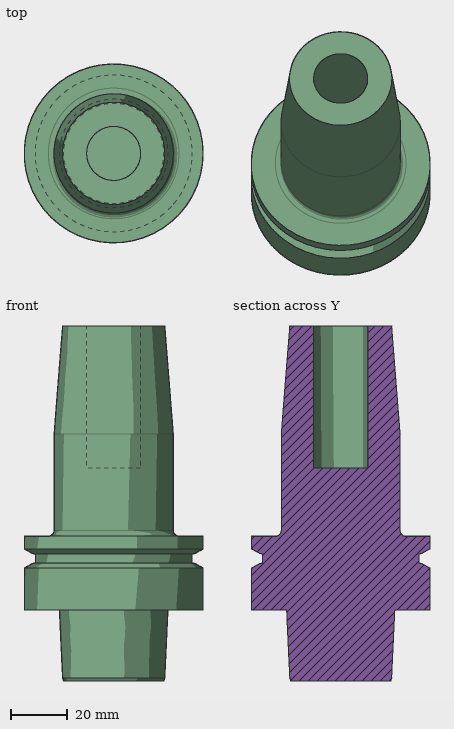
import cadquery as cq
import math

total_height = 125.0
shank_length = 25.0
flange_top = 51.0
groove_bottom = 39.8
groove_top = 46.5

flange_diameter = 63.0
groove_diameter = 55.2
body_diameter = 42.0
nose_diameter = 36.0
shank_large_diameter = 38.2
shank_small_diameter = 36.0
bore_diameter = 19.0

groove_wall_height = 1.6
groove_corner_height = 0.2
groove_corner_width = 1.0
nose_taper_angle = 4.5
body_fillet = 2.0
shank_chamfer = 1.0
shank_chamfer_inset = 0.4
bore_depth = 50.0

flange_radius = flange_diameter / 2
groove_radius = groove_diameter / 2
body_radius = body_diameter / 2
nose_radius = nose_diameter / 2
shank_small_radius = shank_small_diameter / 2
nose_length = (body_radius - nose_radius) / math.tan(math.radians(nose_taper_angle))


def make_holder_body():
    """Revolve the half profile, drawn as (radius, height), about Z."""
    fillet_middle_offset = body_fillet * (1 - math.sqrt(0.5))
    groove_corner_radius = groove_radius + groove_corner_width
    groove_side_height = groove_wall_height + groove_corner_height
    profile = (
        cq.Workplane("XZ")
        .lineTo(shank_small_radius - shank_chamfer_inset, 0)
        .lineTo(shank_small_radius, shank_chamfer)
        .lineTo(shank_large_diameter / 2, shank_length)
        .lineTo(flange_radius, shank_length)
        .lineTo(flange_radius, groove_bottom)
        .lineTo(groove_corner_radius, groove_bottom + groove_wall_height)
        .lineTo(groove_radius, groove_bottom + groove_side_height)
        .lineTo(groove_radius, groove_top - groove_side_height)
        .lineTo(groove_corner_radius, groove_top - groove_wall_height)
        .lineTo(flange_radius, groove_top)
        .lineTo(flange_radius, flange_top)
        .lineTo(body_radius + body_fillet, flange_top)
        .threePointArc(
            (body_radius + fillet_middle_offset, flange_top + fillet_middle_offset),
            (body_radius, flange_top + body_fillet),
        )
        .lineTo(body_radius, total_height - nose_length)
        .lineTo(nose_radius, total_height)
        .lineTo(0, total_height)
        .close()
    )
    return profile.revolve(360, (0, 0, 0), (0, 1, 0))


def make_tool_bore():
    """Blind bore entering from the nose face."""
    return (
        cq.Workplane("XY")
        .workplane(offset=total_height - bore_depth)
        .circle(bore_diameter / 2)
        .extrude(bore_depth)
    )


result = make_holder_body().cut(make_tool_bore())